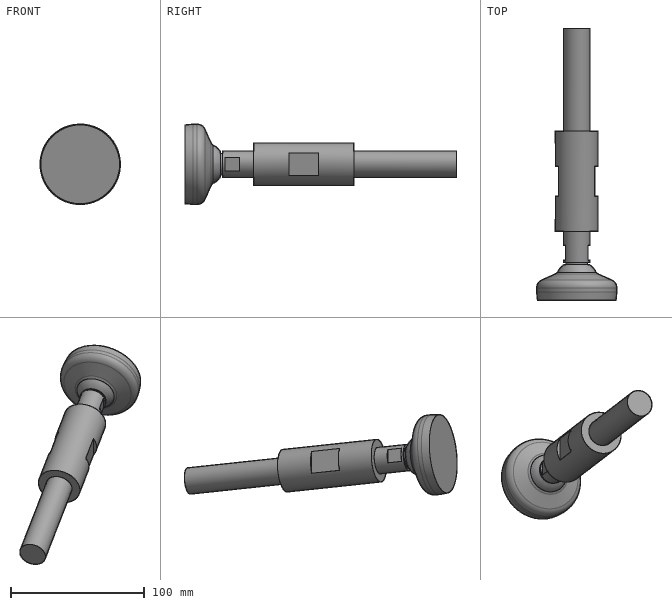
import cadquery as cq
import math

TOTAL_LENGTH = 203.0

FOOT_RADIUS = 30.0
SOLE_RADIUS = 29.5
RIM_BOTTOM = 6.0
RIM_TOP = 9.1
SHOULDER_HEIGHT = 15.2
SHOULDER_RADIUS = 26.0
FLARE_HEIGHT = 19.7
FLARE_RADIUS = 16.0
COLLAR_HEIGHT = 21.0
COLLAR_RADIUS = 14.5
FOOT_TOP = 26.5
FOOT_TOP_RADIUS = 9.5
COLLAR_BULGE = 0.6

SPINDLE_RADIUS = 10.0
SPINDLE_BOTTOM = 28.2
NECK_RADIUS = 8.1
WRENCH_ACROSS = 17.0
WRENCH_BOTTOM = 30.0
WRENCH_LENGTH = 11.0

SLEEVE_RADIUS = 16.0
SLEEVE_BOTTOM = 51.4
SLEEVE_LENGTH = 75.0
SLEEVE_ACROSS = 27.2
SLEEVE_FLAT_LENGTH = 22.1


def cylinder(radius, bottom, length):
    """Cylinder about the Y axis, starting at Y = bottom."""
    return cq.Workplane("XY").add(
        cq.Solid.makeCylinder(radius, length, cq.Vector(0, bottom, 0), cq.Vector(0, 1, 0))
    )


def cut_flats(body, radius, across, bottom, length):
    """Cut two opposite flats facing -X and +X."""
    depth = radius
    for side in (-1, 1):
        block = cq.Workplane("XY").box(depth, length, 2 * radius).translate(
            (side * (across + depth) / 2, bottom + length / 2, 0)
        )
        body = body.cut(block)
    return body


def bulged_point(start, end, bulge):
    """Middle point of an arc that bulges away from the axis between two profile points."""
    dx = end[0] - start[0]
    dy = end[1] - start[1]
    chord = math.hypot(dx, dy)
    return (
        (start[0] + end[0]) / 2 + bulge * dy / chord,
        (start[1] + end[1]) / 2 - bulge * dx / chord,
    )


def make_foot():
    shoulder = (SHOULDER_RADIUS, SHOULDER_HEIGHT)
    flare = (FLARE_RADIUS, FLARE_HEIGHT)
    collar = (COLLAR_RADIUS, COLLAR_HEIGHT)
    top = (FOOT_TOP_RADIUS, FOOT_TOP)
    return (
        cq.Workplane("XY")
        .lineTo(SOLE_RADIUS, 0)
        .lineTo(FOOT_RADIUS, RIM_BOTTOM)
        .lineTo(FOOT_RADIUS, RIM_TOP)
        .tangentArcPoint(shoulder, relative=False)
        .lineTo(*flare)
        .lineTo(*collar)
        .threePointArc(bulged_point(collar, top, COLLAR_BULGE), top)
        .lineTo(0, FOOT_TOP)
        .close()
        .revolve(360, (0, 0, 0), (0, 1, 0))
    )


def make_spindle():
    rod = cylinder(SPINDLE_RADIUS, SPINDLE_BOTTOM, TOTAL_LENGTH - SPINDLE_BOTTOM)
    rod = cut_flats(rod, SPINDLE_RADIUS, WRENCH_ACROSS, WRENCH_BOTTOM, WRENCH_LENGTH)
    neck = cylinder(NECK_RADIUS, FOOT_TOP, SPINDLE_BOTTOM - FOOT_TOP)
    return rod.union(neck)


def make_sleeve():
    sleeve = cylinder(SLEEVE_RADIUS, SLEEVE_BOTTOM, SLEEVE_LENGTH)
    flat_bottom = SLEEVE_BOTTOM + (SLEEVE_LENGTH - SLEEVE_FLAT_LENGTH) / 2
    sleeve = cut_flats(sleeve, SLEEVE_RADIUS, SLEEVE_ACROSS, flat_bottom, SLEEVE_FLAT_LENGTH)
    return sleeve.cut(cylinder(SPINDLE_RADIUS, SLEEVE_BOTTOM, SLEEVE_LENGTH))


foot = make_foot()
spindle = make_spindle()
sleeve = make_sleeve()

result = cq.Compound.makeCompound([foot.val(), spindle.val(), sleeve.val()])